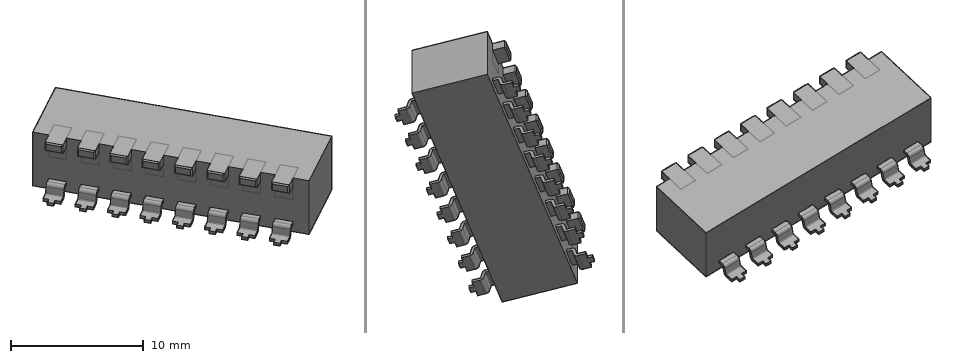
import cadquery as cq
import math


length = 21.72
depth = 5.97
height = 5.0

position_count = 8
pitch = 2.55
position_width = 1.41

lever_seat_depth = 1.37
lever_seat_height = 2.0
lever_reach = 1.05
lever_head_height = 0.78
lever_chamfer = 0.1

lead_span = 9.8
lead_thickness = 0.25
lead_top = 0.93
standoff = 0.1
lead_exit_length = 0.4
bend_radius = 0.2
bend_angle = math.radians(76)
tip_width = 0.5
tip_length = 0.4

position_centres = [(i - (position_count - 1) / 2) * pitch for i in range(position_count)]


def make_lead():
    """Gull-wing lead on the +Y side, centred on X = 0."""
    exit_z = lead_top - lead_thickness / 2
    foot_z = lead_thickness / 2 - standoff
    bend_run = bend_radius * math.sin(bend_angle)
    bend_drop = bend_radius * (1 - math.cos(bend_angle))
    leg_drop = exit_z - foot_z - 2 * bend_drop
    leg_run = leg_drop / math.tan(bend_angle)
    shoulder_y = lead_span / 2 - tip_length

    centreline = (
        cq.Workplane("YZ")
        .moveTo(depth / 2, exit_z)
        .line(lead_exit_length, 0)
        .tangentArcPoint((bend_run, -bend_drop))
        .line(leg_run, -leg_drop)
        .tangentArcPoint((bend_run, -bend_drop))
        .lineTo(shoulder_y, foot_z)
    )
    strip = (
        cq.Workplane("XZ", origin=(0, depth / 2, exit_z))
        .rect(position_width, lead_thickness)
        .sweep(centreline)
    )
    tip = cq.Workplane("XY", origin=(0, shoulder_y, -standoff)).box(
        tip_width, tip_length, lead_thickness, centered=(True, False, False)
    )
    return strip.union(tip)


def make_lever_seat():
    """Block on the -Y side, centred on X = 0, filling the seat cut into the housing."""
    return cq.Workplane("XY", origin=(0, -depth / 2, height - lever_seat_height)).box(
        position_width, lever_seat_depth, lever_seat_height, centered=(True, False, False)
    )


def make_lever():
    """Seat block with its chamfered head, centred on X = 0, its top flush with the housing."""
    head = (
        cq.Workplane("XY", origin=(0, -depth / 2 - lever_reach, height - lever_head_height))
        .box(position_width, lever_reach, lever_head_height, centered=(True, False, False))
        .faces("<Y")
        .chamfer(lever_chamfer)
    )
    return make_lever_seat().union(head)


result = cq.Workplane("XY").box(length, depth, height, centered=(True, True, False))

back_lead = make_lead()
front_lead = back_lead.mirror("XZ")
for x in position_centres:
    result = result.union(back_lead.translate((x, 0, 0)))
    result = result.union(front_lead.translate((x, 0, 0)))

lever_seat = make_lever_seat()
for x in position_centres:
    result = result.cut(lever_seat.translate((x, 0, 0)))

lever = make_lever()
for x in position_centres:
    result = result.union(lever.translate((x, 0, 0)), clean=False)